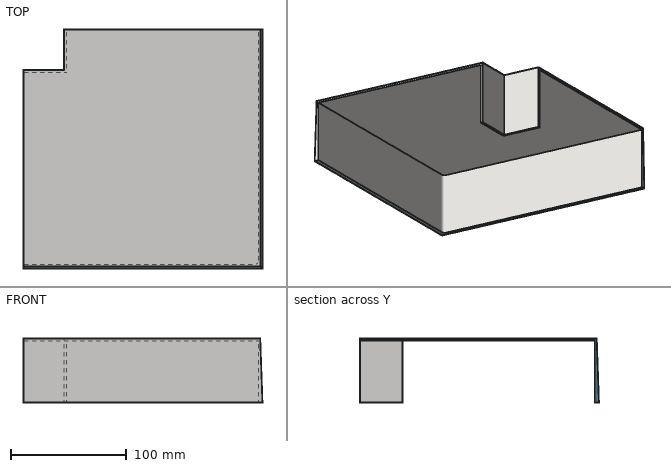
import cadquery as cq
import math

top_size = 205.0
height = 55.5
draft_angle = 2.0
notch_size = 35.0
wall = 2.0
corner_radius = 3.0

flare = height * math.tan(math.radians(draft_angle))
base_size = top_size + flare


def square_points(side):
    """Square with one corner on the Z axis, growing toward +X and -Y."""
    return [(0, 0), (side, 0), (side, -side), (0, -side)]


def drafted_block():
    """Solid block with vertical -X and +Y faces and drafted +X and -Y faces."""
    base = cq.Workplane("XY").polyline(square_points(base_size)).close()
    roof = base.workplane(offset=height).polyline(square_points(top_size)).close()
    return roof.loft(ruled=True)


def notch():
    """Square column removed at the -X, +Y corner through the full height."""
    return cq.Workplane("XY").polyline(square_points(notch_size)).close().extrude(height)


def cavity():
    """L-shaped hollow below the roof, running out of both arm ends."""
    inner_corner = notch_size + wall
    outer_corner = top_size - wall
    return (
        cq.Workplane("XY")
        .moveTo(0, -inner_corner)
        .lineTo(inner_corner, -inner_corner)
        .lineTo(inner_corner, 0)
        .lineTo(outer_corner, 0)
        .lineTo(outer_corner, corner_radius - outer_corner)
        .radiusArc((outer_corner - corner_radius, -outer_corner), corner_radius)
        .lineTo(0, -outer_corner)
        .close()
        .extrude(height - wall)
    )


result = drafted_block().cut(notch()).cut(cavity())